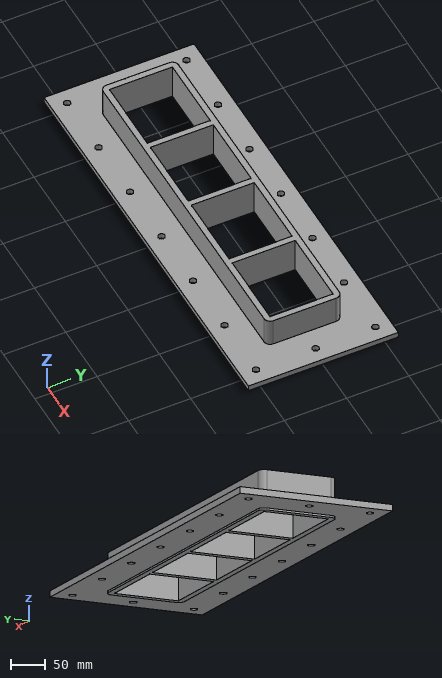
import cadquery as cq

plate_length = 652.0
plate_width = 241.0
plate_thickness = 10.0

frame_length = 532.0
frame_width = 120.5
frame_height = 60.0
frame_corner_radius = 10.0
lip_below_plate = 3.0
wall = 10.0

window_count = 4
window_pitch = (frame_length - wall) / window_count
window_length = window_pitch - wall
window_width = frame_width - 2 * wall

hole_diameter = 10.5
hole_columns = 7
hole_pitch_x = 100.5
hole_pitch_y = 96.0


def make_plate():
    return (
        cq.Workplane("XY")
        .workplane(offset=lip_below_plate)
        .rect(plate_length, plate_width)
        .extrude(plate_thickness)
    )


def make_frame():
    return (
        cq.Workplane("XY")
        .rect(frame_length, frame_width)
        .extrude(frame_height)
        .edges("|Z")
        .fillet(frame_corner_radius)
    )


def make_windows():
    return (
        cq.Workplane("XY")
        .rarray(window_pitch, 6.5, window_count, 1)
        .rect(window_length, window_width)
        .extrude(frame_height)
    )


def make_bolt_holes():
    last_column = hole_columns - 1
    middle_column = last_column / 2
    centres = []
    for column in range(hole_columns):
        rows = (-1, 0, 1) if column in (0, last_column) else (-1, 1)
        for row in rows:
            centres.append(((column - middle_column) * hole_pitch_x, row * hole_pitch_y))
    return cq.Workplane("XY").pushPoints(centres).circle(hole_diameter / 2).extrude(frame_height)


result = make_plate().union(make_frame()).cut(make_windows()).cut(make_bolt_holes())